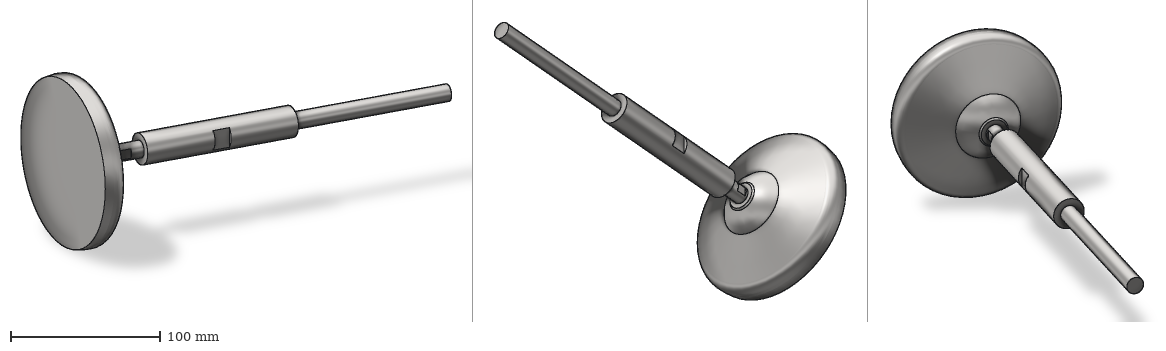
import cadquery as cq
import math

overall_length = 294.0

foot_radius = 60.0
underside_radius = 59.0
band_bottom = 6.5
band_top = 9.5
shoulder_radius = 54.7
shoulder_height = 16.2
dome_radius = 23.5
dome_base = 28.0
crown_radius = 10.5
crown_base = 38.0
crown_top_radius = 9.5
foot_height = 39.0
dome_bulge = 1.5
rim_bulge = 1.5

rod_diameter = 12.0
rod_flats_width = 10.0
rod_flats_start = 41.0
rod_flats_end = 49.0
rod_seat = dome_base

sleeve_diameter = 22.0
sleeve_start = 58.8
sleeve_end = 174.0
sleeve_flats_width = 17.0
sleeve_flats_length = 12.3


def cylinder_along_y(diameter, start, end):
    """Cylinder on the Y axis between two Y positions."""
    return cq.Workplane("XZ", origin=(0, start, 0)).circle(diameter / 2).extrude(start - end)


def cut_wrench_flats(body, diameter, flats_width, start, end):
    """Cut two opposite flats, facing -X and +X, into a round body."""
    flat_depth = (diameter - flats_width) / 2
    for side in (-1, 1):
        cutter = cq.Workplane("XY").box(2 * flat_depth, end - start, diameter)
        body = body.cut(cutter.translate((side * (flats_width / 2 + flat_depth), (start + end) / 2, 0)))
    return body


def bulged_midpoint(first, last, bulge):
    """Middle point of an arc that rises by `bulge` to the right of its chord's direction."""
    run = last[0] - first[0]
    rise = last[1] - first[1]
    chord = math.hypot(run, rise)
    return (
        (first[0] + last[0]) / 2 + bulge * rise / chord,
        (first[1] + last[1]) / 2 - bulge * run / chord,
    )


def make_foot():
    """Round foot with a domed top and a blind hole for the rod."""
    rim = (foot_radius, band_top)
    shoulder = (shoulder_radius, shoulder_height)
    dome_edge = (dome_radius, dome_base)
    crown_edge = (crown_radius, crown_base)
    profile = (
        cq.Workplane("XY")
        .lineTo(underside_radius, 0)
        .lineTo(foot_radius, band_bottom)
        .lineTo(*rim)
        .threePointArc(bulged_midpoint(rim, shoulder, rim_bulge), shoulder)
        .lineTo(*dome_edge)
        .threePointArc(bulged_midpoint(dome_edge, crown_edge, dome_bulge), crown_edge)
        .lineTo(crown_top_radius, foot_height)
        .lineTo(0, foot_height)
        .close()
    )
    foot = profile.revolve(360, (0, 0, 0), (0, 1, 0))
    return foot.cut(cylinder_along_y(rod_diameter, rod_seat, foot_height))


def make_rod():
    """Rod running from the foot through the sleeve to the far end."""
    rod = cylinder_along_y(rod_diameter, rod_seat, overall_length)
    return cut_wrench_flats(rod, rod_diameter, rod_flats_width, rod_flats_start, rod_flats_end)


def make_sleeve():
    """Sleeve around the rod, with wrench flats at the middle of its length."""
    sleeve = cylinder_along_y(sleeve_diameter, sleeve_start, sleeve_end)
    middle = (sleeve_start + sleeve_end) / 2
    flats_start = middle - sleeve_flats_length / 2
    flats_end = middle + sleeve_flats_length / 2
    sleeve = cut_wrench_flats(sleeve, sleeve_diameter, sleeve_flats_width, flats_start, flats_end)
    return sleeve.cut(cylinder_along_y(rod_diameter, sleeve_start, sleeve_end))


foot = make_foot()
rod = make_rod()
sleeve = make_sleeve()

result = cq.Compound.makeCompound([foot.val(), rod.val(), sleeve.val()])